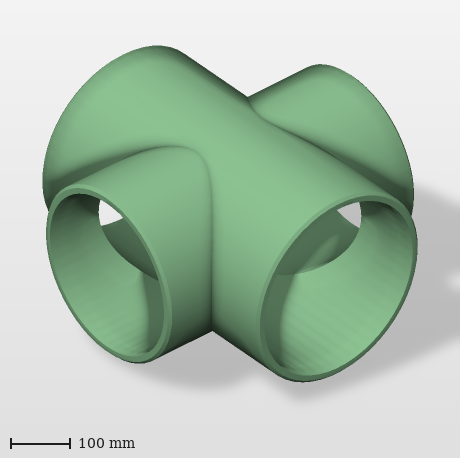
import cadquery as cq

run_length = 558.8
run_diameter = 355.6

branch_length = 539.5
branch_diameter = 323.9

wall = 15.1

bevel = 5.0


def beveled_cylinder(plane, diameter, length):
    """Solid cylinder centred on the origin with both outer end edges beveled."""
    radius = diameter / 2
    end_radius = radius - bevel
    half_length = length / 2
    shoulder = half_length - bevel
    profile = [
        (0, -half_length),
        (end_radius, -half_length),
        (radius, -shoulder),
        (radius, shoulder),
        (end_radius, half_length),
        (0, half_length),
    ]
    return cq.Workplane(plane).polyline(profile).close().revolve(360, (0, 0), (0, 1))


def bore(plane, diameter, length):
    """Plain cylinder centred on the origin, along the normal of the plane."""
    return cq.Workplane(plane).circle(diameter / 2).extrude(length / 2, both=True)


run_body = beveled_cylinder("ZX", run_diameter, run_length)
branch_body = beveled_cylinder("XY", branch_diameter, branch_length)

run_bore = bore("YZ", run_diameter - 2 * wall, run_length)
branch_bore = bore("XZ", branch_diameter - 2 * wall, branch_length)

result = run_body.union(branch_body).cut(run_bore).cut(branch_bore)